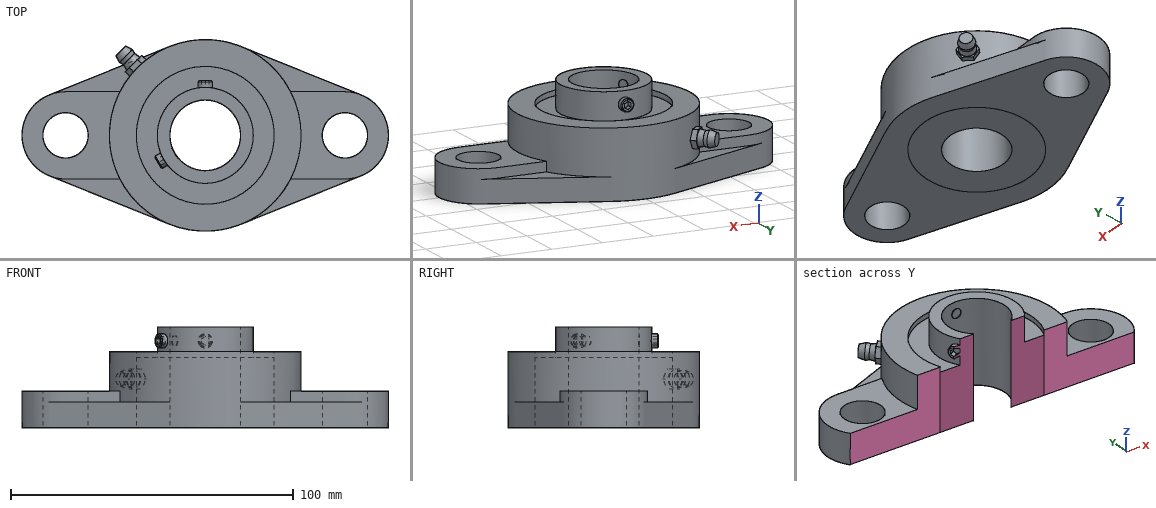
import cadquery as cq
import math

overall_length = 130.0
boss_diameter = 68.0
boss_height = 27.0
bolt_spacing = 99.0
bolt_hole_diameter = 16.0
plate_height = 9.1
lug_pad_height = 13.0

boss_radius = boss_diameter / 2
lug_center_x = bolt_spacing / 2
lug_radius = (overall_length - bolt_spacing) / 2

overall_height = 35.8
ring_diameter = 48.9
ring_recess = 2.1
collar_diameter = 34.0
bore_diameter = 25.0

ring_height = boss_height - ring_recess
bore_radius = bore_diameter / 2

screw_diameter = 5.1
screw_chamfer = 0.4
screw_tip_distance = 19.4
screw_inset = 0.1
screw_opening_diameter = 3.9
screw_axis_height = 30.8
screw_angles = (90, 210)
socket_width = 2.6
socket_depth = 2.6

nipple_angle = 135
nipple_axis_height = 17.3
nipple_root_distance = 31.2
nipple_hex_width = 7.2
nipple_hex_distance = 36.0
nipple_neck_distance = 38.2
nipple_ridge_distance = 39.8
nipple_tip_distance = 42.4
nipple_neck_radius = 2.9
nipple_ridge_radius = 3.2
nipple_tip_radius = 2.5


def hexagon_diameter(width_across_flats):
    """Corner-to-corner diameter of a hexagon."""
    return width_across_flats / math.cos(math.radians(30))


def radial_plane(angle, distance, height):
    """Plane facing outward at an angle about Z, with its local X axis horizontal."""
    direction = math.radians(angle)
    outward = (math.cos(direction), math.sin(direction), 0)
    sideways = (-math.sin(direction), math.cos(direction), 0)
    origin = (distance * outward[0], distance * outward[1], height)
    return cq.Plane(origin=origin, xDir=sideways, normal=outward)


def make_flange_plate():
    """Low plate bounded by the lug arcs and by lines tangent to the lugs and the boss."""
    tangent_sine = (boss_radius - lug_radius) / lug_center_x
    tangent_cosine = math.sqrt(1 - tangent_sine**2)
    boss_x = boss_radius * tangent_sine
    boss_y = boss_radius * tangent_cosine
    lug_x = lug_center_x + lug_radius * tangent_sine
    lug_y = lug_radius * tangent_cosine
    end_x = overall_length / 2
    return (
        cq.Workplane("XY")
        .moveTo(-boss_x, boss_y)
        .lineTo(boss_x, boss_y)
        .lineTo(lug_x, lug_y)
        .threePointArc((end_x, 0), (lug_x, -lug_y))
        .lineTo(boss_x, -boss_y)
        .lineTo(-boss_x, -boss_y)
        .lineTo(-lug_x, -lug_y)
        .threePointArc((-end_x, 0), (-lug_x, lug_y))
        .close()
        .extrude(plate_height)
    )


def make_nipple():
    """Hexagonal base with a turned head that has a narrow neck and a ridge."""
    base = (
        cq.Workplane(radial_plane(nipple_angle, nipple_root_distance, nipple_axis_height))
        .polygon(6, hexagon_diameter(nipple_hex_width))
        .extrude(nipple_hex_distance - nipple_root_distance)
    )
    head = (
        cq.Workplane("XY")
        .moveTo(0, nipple_hex_distance)
        .lineTo(nipple_ridge_radius, nipple_hex_distance)
        .lineTo(nipple_neck_radius, nipple_neck_distance)
        .lineTo(nipple_ridge_radius, nipple_ridge_distance)
        .lineTo(nipple_tip_radius, nipple_tip_distance)
        .lineTo(0, nipple_tip_distance)
        .close()
        .revolve(360, (0, 0, 0), (0, 1, 0))
        .rotate((0, 0, 0), (0, 0, 1), nipple_angle - 90)
        .translate((0, 0, nipple_axis_height))
    )
    return base.union(head)


def make_housing():
    """Flange with raised lugs, boss and nipple, bored for the insert and the bolts."""
    lug_pad = cq.Workplane("XY").slot2D(overall_length, 2 * lug_radius).extrude(lug_pad_height)
    boss = cq.Workplane("XY").circle(boss_radius).extrude(boss_height)
    insert_seat = cq.Workplane("XY").circle(ring_diameter / 2).extrude(boss_height)
    bolt_holes = (
        cq.Workplane("XY")
        .pushPoints([(-lug_center_x, 0), (lug_center_x, 0)])
        .circle(bolt_hole_diameter / 2)
        .extrude(lug_pad_height)
    )
    flange = make_flange_plate().union(lug_pad).union(boss)
    return flange.union(make_nipple()).cut(insert_seat).cut(bolt_holes)


def make_set_screw(angle):
    """Chamfered screw with a hexagon socket, one corner up, in its outer end."""
    inner_distance = bore_radius + screw_inset
    return (
        cq.Workplane(radial_plane(angle, inner_distance, screw_axis_height))
        .circle(screw_diameter / 2)
        .extrude(screw_tip_distance - inner_distance)
        .faces(cq.selectors.DirectionMinMaxSelector(radial_plane(angle, 0, 0).zDir))
        .chamfer(screw_chamfer)
        .cut(
            cq.Workplane(radial_plane(angle, screw_tip_distance, screw_axis_height))
            .transformed(rotate=(0, 0, 90))
            .polygon(6, hexagon_diameter(socket_width))
            .extrude(-socket_depth)
        )
    )


def make_screw_opening(angle):
    """Narrow radial hole from the bore to the inner end of a set screw."""
    return (
        cq.Workplane(radial_plane(angle, 0, screw_axis_height))
        .circle(screw_opening_diameter / 2)
        .extrude(bore_radius + screw_inset)
    )


def make_bearing_insert():
    """Ring and collar with a through bore and two set screws fixed in the collar."""
    insert = (
        cq.Workplane("XY")
        .circle(ring_diameter / 2)
        .extrude(ring_height)
        .union(cq.Workplane("XY").circle(collar_diameter / 2).extrude(overall_height))
        .cut(cq.Workplane("XY").circle(bore_radius).extrude(overall_height))
    )
    for angle in screw_angles:
        insert = insert.union(make_set_screw(angle)).cut(make_screw_opening(angle))
    return insert


housing = make_housing()
bearing_insert = make_bearing_insert()

result = cq.Compound.makeCompound([housing.val(), bearing_insert.val()])